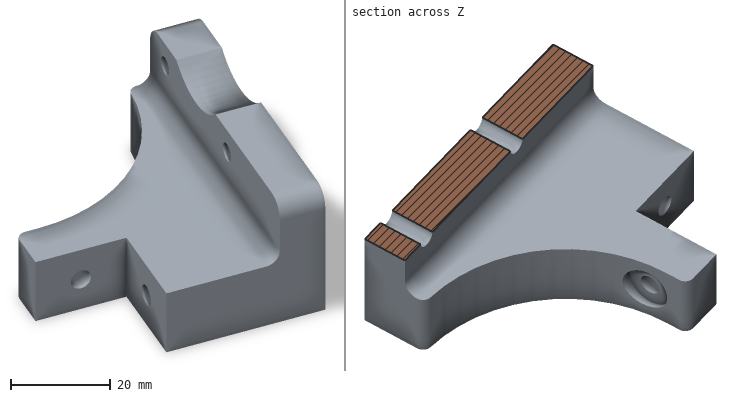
import cadquery as cq

width = 65.0
depth = 55.0
height = 30.0
base_height = 15.0

plate_thickness = 10.0
plate_corner_radius = 4.0
root_fillet_radius = 3.0

arc_radius = 35.0
leg_width = 10.0
edge_radius = 2.0
notch_depth = 20.0
arc_center_y = 5.0
leg_right = arc_radius + leg_width

motor_x = 23.0
motor_z = 40.0
motor_relief_radius = 14.0
motor_hole_spacing = 31.0
motor_hole_diameter = 4.0
motor_hole_z = motor_z - motor_hole_spacing / 2

clamp_hole_diameter = 4.5
spotface_diameter = 10.0
spotface_depth = 1.0
clamp_z = base_height / 2
rear_hole_x = (leg_right + width) / 2
leg_hole_y = notch_depth / 2


def cylinder_along_y(x, z, radius):
    """Cylinder spanning the full depth of the part."""
    return cq.Workplane("XZ").center(x, z).circle(radius).extrude(-depth)


def cylinder_along_x(y, z, radius, length):
    """Cylinder starting at the left side of the part."""
    return cq.Workplane("YZ").center(y, z).circle(radius).extrude(length)


def make_base():
    block = cq.Workplane("XY").box(width, depth, base_height, centered=False)
    notch = (
        cq.Workplane("XY")
        .box(width - leg_right, notch_depth, base_height, centered=False)
        .translate((leg_right, 0, 0))
    )
    round_recess = cq.Workplane("XY").center(0, arc_center_y).circle(arc_radius).extrude(base_height)
    front_recess = cq.Workplane("XY").box(arc_radius, arc_center_y, base_height, centered=False)
    base = block.cut(notch).cut(round_recess).cut(front_recess)
    recess_ends = [
        (0, arc_center_y + arc_radius, clamp_z),
        (arc_radius, 0, clamp_z),
    ]
    for point in recess_ends:
        base = base.edges(cq.selectors.NearestToPointSelector(point)).fillet(edge_radius)
    return base


def make_plate():
    plate = (
        cq.Workplane("XY")
        .box(width, plate_thickness, height, centered=False)
        .translate((0, depth - plate_thickness, 0))
    )
    return plate.edges("|Y and >Z").fillet(plate_corner_radius)


def fillet_plate_root(body):
    root = cq.selectors.NearestToPointSelector((width / 2, depth - plate_thickness, base_height))
    return body.edges(root).fillet(root_fillet_radius)


def cut_motor_mount(body):
    body = body.cut(cylinder_along_y(motor_x, motor_z, motor_relief_radius))
    for side in (-1, 1):
        hole_x = motor_x + side * motor_hole_spacing / 2
        body = body.cut(cylinder_along_y(hole_x, motor_hole_z, motor_hole_diameter / 2))
    return body


def cut_clamp_holes(body):
    body = body.cut(cylinder_along_y(rear_hole_x, clamp_z, clamp_hole_diameter / 2))
    body = body.cut(cylinder_along_x(leg_hole_y, clamp_z, clamp_hole_diameter / 2, width))
    spotface_floor_x = arc_radius + spotface_depth
    return body.cut(cylinder_along_x(leg_hole_y, clamp_z, spotface_diameter / 2, spotface_floor_x))


body = make_base().union(make_plate())
body = fillet_plate_root(body)
body = cut_motor_mount(body)
result = cut_clamp_holes(body)